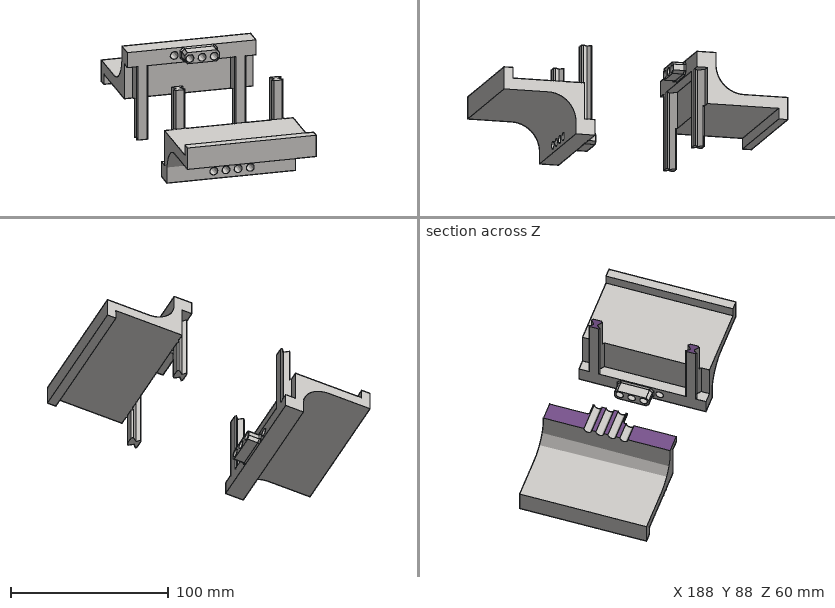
import cadquery as cq

overall_length = 188.0
jaw_length = 60.0
jaw_height = 60.0
jaw_width = 85.0
sideways_offset = 3.0

plate_thickness = 7.5
lip_thickness = 6.0
lip_drop = 7.0
block_depth = 12.6
block_height = 10.2
fillet_radius = 18.2

rail_depth = 7.0
rail_edge_distance = 10.2
rail_width = 7.5
rail_waist = 2.8
rail_waist_depth = 2.8
front_bevel = 0.8
back_bevel = 1.1

key_length = 8.0
key_width = 23.0
key_height = 7.5
key_corner = 1.9
key_flare = 1.0
hole_diameter = 5.0
hole_count = 4
hole_row_length = 24.0
first_hole_from_side = 29.9

top = jaw_height / 2
plate_top = plate_thickness / 2
plate_bottom = -plate_top
block_bottom = top - block_height
hole_level = top - block_height / 2
key_level = top - key_flare - key_height / 2
hole_pitch = hole_row_length / (hole_count - 1)
hole_places = [jaw_width / 2 - first_hole_from_side - i * hole_pitch for i in range(hole_count)]
key_center = hole_places[1]
rail_centers = [side * (jaw_width / 2 - rail_edge_distance) for side in (-1, 1)]


def make_profile():
    """Plate with lip, concave sweep, block and the step that receives the rails."""
    outline = (
        cq.Workplane("XZ")
        .moveTo(0, top)
        .lineTo(-block_depth, top)
        .lineTo(-block_depth, plate_top + fillet_radius)
        .radiusArc((-block_depth - fillet_radius, plate_top), fillet_radius)
        .lineTo(-jaw_length, plate_top)
        .lineTo(-jaw_length, plate_bottom - lip_drop)
        .lineTo(-jaw_length + lip_thickness, plate_bottom - lip_drop)
        .lineTo(-jaw_length + lip_thickness, plate_bottom)
        .lineTo(-rail_depth, plate_bottom)
        .lineTo(-rail_depth, block_bottom)
        .lineTo(0, block_bottom)
        .close()
    )
    return outline.extrude(jaw_width / 2, both=True)


def make_rail_length(half_outline, z_low, z_high):
    """Prism between two levels, from (x, half width) points mirrored about the rail centre."""
    mirrored = [(x, -half_width) for x, half_width in reversed(half_outline)]
    return (
        cq.Workplane("XY", origin=(0, 0, z_low))
        .polyline(half_outline + mirrored)
        .close()
        .extrude(z_high - z_low)
    )


def make_rail():
    """Rail with a V groove in each side: bevelled at the back where free, flared onto the wall elsewhere."""
    tip = rail_width / 2
    waist = rail_waist / 2
    back_tip_depth = rail_depth - back_bevel
    back_slope = (tip - waist) / (back_tip_depth - rail_waist_depth)
    root = tip + back_slope * back_bevel

    front = [(0, tip - front_bevel), (-front_bevel, tip), (-rail_waist_depth, waist)]
    free_back = [(-back_tip_depth, tip), (-rail_depth, tip - back_bevel)]
    wall_back = [(-rail_depth, root)]
    free_length = make_rail_length(front + free_back, -top, plate_bottom)
    wall_length = make_rail_length(front + wall_back, plate_bottom, block_bottom)
    return wall_length.union(free_length).clean()


def key_outline(x):
    """Rectangle with cut corners on the plane at the given X."""
    half_width = key_width / 2
    half_height = key_height / 2
    points = [
        (half_width - key_corner, half_height),
        (half_width, half_height - key_corner),
        (half_width, key_corner - half_height),
        (half_width - key_corner, -half_height),
        (key_corner - half_width, -half_height),
        (-half_width, key_corner - half_height),
        (-half_width, half_height - key_corner),
        (key_corner - half_width, half_height),
    ]
    return cq.Workplane("YZ", origin=(x, key_center, key_level)).polyline(points).close()


def make_key():
    """Key standing on the block, with its root flared out to the mating face."""
    stem = key_outline(0).extrude(key_length)
    flare = key_outline(key_flare).extrude(-key_flare, taper=-45)
    return stem.union(flare)


def make_holes():
    """Row of holes that run through the block and the key."""
    return (
        cq.Workplane("YZ", origin=(-block_depth, 0, hole_level))
        .pushPoints([(y, 0) for y in hole_places])
        .circle(hole_diameter / 2)
        .extrude(block_depth + key_length)
    )


def make_jaw():
    """One complete jaw, key pointing along +X and block at the top."""
    jaw = make_profile().union(make_key())
    rail = make_rail()
    for y in rail_centers:
        jaw = jaw.union(rail.translate((0, y, 0)))
    return jaw.cut(make_holes())


mating_face_x = overall_length / 2 - jaw_length
jaws = []
for side, turn in ((-1, 0), (1, 180)):
    turned_jaw = make_jaw().rotate((0, 0, 0), (0, 1, 0), turn)
    jaws.append(turned_jaw.translate((side * mating_face_x, side * sideways_offset / 2, 0)))

result = cq.Compound.makeCompound([jaw.val() for jaw in jaws])